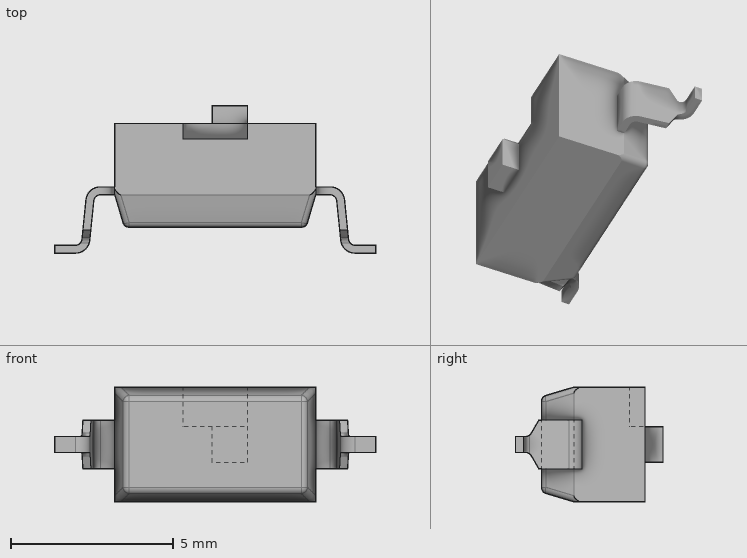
import cadquery as cq
import math


housing_length = 6.2
housing_width = 3.54
housing_front_y = 0.8
taper_start_y = 1.8
housing_back_y = 4.0
taper_angle = 16.7
edge_radius = 0.2

knob_size = 1.1
knob_height = 0.55

notch_length = 2.0
notch_depth = 0.48
notch_floor_z = knob_size / 2

lead_span = 9.9
lead_thickness = 0.25
bend_inner_radius = 0.2
foot_length = 0.64
shoulder_length = 0.44
web_width = 1.5
foot_width = 0.5
neck_y = 0.43
neck_slope_angle = 30.0
neck_radius = 0.2


def make_housing():
    """Box with a drafted, rounded front and an open notch in one back edge."""
    box = cq.Workplane("XZ", origin=(0, housing_back_y, 0)).rect(housing_length, housing_width)
    box = box.extrude(housing_back_y - taper_start_y)
    front = cq.Workplane("XZ", origin=(0, taper_start_y, 0)).rect(housing_length, housing_width)
    front = front.extrude(taper_start_y - housing_front_y, taper=taper_angle)

    body = box.union(front)
    front_edges = body.faces("<Y").edges()
    slanted_edges = body.edges("not(|X or |Y or |Z)")
    body = front_edges.add(slanted_edges).fillet(edge_radius)

    notch_height = housing_width / 2 - notch_floor_z
    notch = cq.Workplane("XY", origin=(0, housing_back_y - notch_depth / 2, notch_floor_z))
    notch = notch.rect(notch_length, notch_depth).extrude(notch_height)
    return body.cut(notch)


def make_knob():
    """Square knob standing on the back face, its +X side level with the notch end."""
    knob_x = notch_length / 2 - knob_size / 2
    knob = cq.Workplane("XZ", origin=(knob_x, housing_back_y, 0)).rect(knob_size, knob_size)
    return knob.extrude(-knob_height)


def make_bent_strip():
    """S-bent strip of full web width on the +X side: shoulder, leaning web and foot."""
    inner = bend_inner_radius
    outer = inner + lead_thickness
    wall_x = housing_length / 2
    tip_x = lead_span / 2
    shoulder_top_y = taper_start_y + lead_thickness

    upper = (wall_x + shoulder_length, taper_start_y - inner)
    lower = (tip_x - foot_length, lead_thickness + inner)
    run = lower[0] - upper[0]
    drop = upper[1] - lower[1]
    lean = math.atan2(run, drop) - math.asin((inner + outer) / math.hypot(run, drop))
    mid_turn = (math.pi / 2 + lean) / 2

    def on_upper(radius, angle):
        return (upper[0] + radius * math.cos(angle), upper[1] + radius * math.sin(angle))

    def on_lower(radius, angle):
        return (lower[0] - radius * math.cos(angle), lower[1] - radius * math.sin(angle))

    profile = (
        cq.Workplane("XY", origin=(0, 0, -web_width / 2))
        .moveTo(wall_x, shoulder_top_y)
        .lineTo(upper[0], shoulder_top_y)
        .threePointArc(on_upper(outer, mid_turn), on_upper(outer, lean))
        .lineTo(*on_lower(inner, lean))
        .threePointArc(on_lower(inner, mid_turn), (lower[0], lead_thickness))
        .lineTo(tip_x, lead_thickness)
        .lineTo(tip_x, 0)
        .lineTo(lower[0], 0)
        .threePointArc(on_lower(outer, mid_turn), on_lower(outer, lean))
        .lineTo(*on_upper(inner, lean))
        .threePointArc(on_upper(inner, mid_turn), (upper[0], taper_start_y))
        .lineTo(wall_x, taper_start_y)
        .close()
    )
    return profile.extrude(web_width)


def make_lead_outline():
    """Block along X with the lead outline: wide web tapering to the foot through a rounded neck."""
    web_half = web_width / 2
    foot_half = foot_width / 2
    taper_top_y = neck_y + (web_half - foot_half) * math.tan(math.radians(neck_slope_angle))
    top_y = taper_start_y + lead_thickness
    outline = cq.Workplane("YZ").polyline(
        [
            (0, -foot_half),
            (neck_y, -foot_half),
            (taper_top_y, -web_half),
            (top_y, -web_half),
            (top_y, web_half),
            (taper_top_y, web_half),
            (neck_y, foot_half),
            (0, foot_half),
        ]
    ).close()
    block = outline.extrude(lead_span / 2)
    neck_corners = cq.selectors.BoxSelector(
        (0, neck_y - lead_thickness / 2, -foot_width),
        (lead_span, neck_y + lead_thickness / 2, foot_width),
    )
    return block.edges("|X").edges(neck_corners).fillet(neck_radius)


def make_lead(side):
    """One lead; side is +1 for the +X end and -1 for the -X end."""
    lead = make_bent_strip().intersect(make_lead_outline())
    if side < 0:
        lead = lead.mirror("YZ")
    return lead


housing = make_housing()
knob = make_knob()
leads = [make_lead(side) for side in (-1, 1)]

result = cq.Compound.makeCompound([housing.val(), knob.val(), *[lead.val() for lead in leads]])